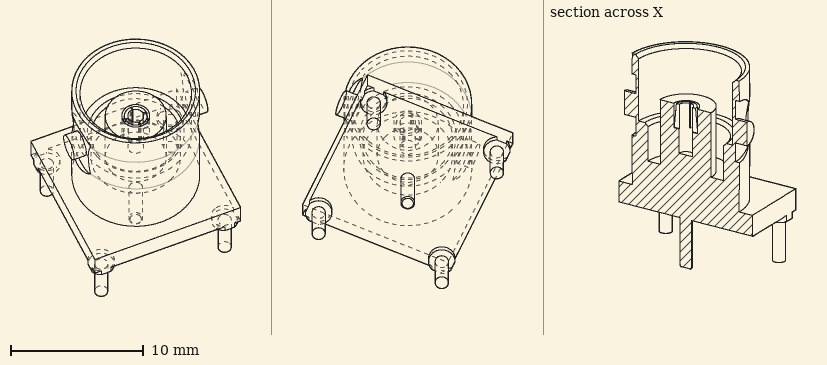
import cadquery as cq

plate_side = 12.0
plate_thickness = 1.75
pad_height = 0.5
pad_diameter = 2.0
leg_pitch = 10.16
leg_diameter = 1.0
leg_length = 3.5

pin_diameter = 1.05
pin_tip_chamfer = 0.1

barrel_diameter = 9.65
barrel_height = 10.75
waist_top_depth = 2.5
waist_height = 3.42
waist_sag = 0.13

lug_diameter = 1.98
lug_span = 11.0
flat_diameter = 5.0
flat_span = 9.0

mouth_diameter = 9.0
bore_diameter = 8.4
shoulder_depth = 5.4
shoulder_edge_diameter = 7.3
inner_bore_diameter = 6.75
socket_depth = 8.5

insulator_diameter = 4.6
insulator_depth = 3.2
contact_diameter = 2.1
contact_tip_diameter = 1.72
contact_hole_diameter = 1.2
contact_hole_depth = 4.0
slit_width = 0.06
slit_depth = 2.0
contact_taper_length = slit_depth

plate_bottom = pad_height
plate_top = plate_bottom + plate_thickness
barrel_top = plate_top + barrel_height
waist_top = barrel_top - waist_top_depth
waist_bottom = waist_top - waist_height
lug_height = (waist_top + waist_bottom) / 2
insulator_top = barrel_top - insulator_depth


def cylinder(diameter, bottom, top):
    """Vertical cylinder on the part axis."""
    return cq.Workplane("XY").workplane(offset=bottom).circle(diameter / 2).extrude(top - bottom)


def cross_cylinder(diameter, length):
    """Cylinder along Y at lug height, centered on the part axis."""
    return cq.Workplane("XZ", origin=(0, 0, lug_height)).circle(diameter / 2).extrude(length / 2, both=True)


def make_base():
    """Plate, pads trimmed to the plate edges, and corner legs."""
    plate = cq.Workplane("XY").workplane(offset=plate_bottom).rect(plate_side, plate_side)
    plate = plate.extrude(plate_thickness)
    corners = cq.Workplane("XY").rect(leg_pitch, leg_pitch, forConstruction=True).vertices()
    pads = corners.circle(pad_diameter / 2).extrude(plate_bottom)
    plate_outline = cq.Workplane("XY").rect(plate_side, plate_side).extrude(plate_bottom)
    pads = pads.intersect(plate_outline)
    legs = corners.circle(leg_diameter / 2).extrude(-leg_length)
    return plate.union(pads).union(legs)


def make_center_pin():
    """Solder pin, level with the legs, with a chamfered tip."""
    pin = cylinder(pin_diameter, -leg_length, plate_bottom)
    return pin.faces("<Z").chamfer(pin_tip_chamfer)


def make_barrel():
    """Barrel revolved with a shallow arc waist, then cut by the two lug flats."""
    radius = barrel_diameter / 2
    profile = (
        cq.Workplane("XZ")
        .moveTo(0, plate_top)
        .lineTo(radius, plate_top)
        .lineTo(radius, waist_bottom)
        .threePointArc((radius - waist_sag, lug_height), (radius, waist_top))
        .lineTo(radius, barrel_top)
        .lineTo(0, barrel_top)
        .close()
    )
    barrel = profile.revolve(360, (0, 0, 0), (0, 1, 0))
    flat_cutter = cross_cylinder(flat_diameter, plate_side).cut(
        cq.Workplane("XY", origin=(0, 0, lug_height)).box(plate_side, flat_span, plate_side)
    )
    return barrel.cut(flat_cutter).union(cross_cylinder(lug_diameter, lug_span))


def make_socket_cutter():
    """Stepped bore with 45 degree lead-ins at the mouth and at the shoulder."""
    mouth_chamfer = (mouth_diameter - bore_diameter) / 2
    shoulder_chamfer = (shoulder_edge_diameter - inner_bore_diameter) / 2
    shoulder = barrel_top - shoulder_depth
    floor = barrel_top - socket_depth
    profile = (
        cq.Workplane("XZ")
        .moveTo(0, barrel_top)
        .lineTo(mouth_diameter / 2, barrel_top)
        .lineTo(bore_diameter / 2, barrel_top - mouth_chamfer)
        .lineTo(bore_diameter / 2, shoulder)
        .lineTo(shoulder_edge_diameter / 2, shoulder)
        .lineTo(inner_bore_diameter / 2, shoulder - shoulder_chamfer)
        .lineTo(inner_bore_diameter / 2, floor)
        .lineTo(0, floor)
        .close()
    )
    return profile.revolve(360, (0, 0, 0), (0, 1, 0))


def make_insulator():
    """Insulator and its contact, whose slotted fingers taper inward to a tip flush with the insulator face."""
    insulator = cylinder(insulator_diameter, barrel_top - socket_depth, insulator_top)
    taper_bottom = insulator_top - contact_taper_length
    taper = (
        cq.Workplane("XZ")
        .moveTo(contact_tip_diameter / 2, insulator_top)
        .lineTo(contact_diameter / 2, insulator_top)
        .lineTo(contact_diameter / 2, taper_bottom)
        .close()
        .revolve(360, (0, 0, 0), (0, 1, 0))
    )
    hole = cylinder(contact_hole_diameter, insulator_top - contact_hole_depth, insulator_top)
    slit_bottom = cq.Workplane("XY").workplane(offset=insulator_top - slit_depth)
    slits = slit_bottom.rect(contact_diameter, slit_width).extrude(slit_depth)
    slits = slits.union(slit_bottom.rect(slit_width, contact_diameter).extrude(slit_depth))
    slits = slits.intersect(cylinder(contact_diameter, insulator_top - slit_depth, insulator_top))
    return insulator.cut(taper).cut(hole).cut(slits)


shell = make_base().union(make_barrel()).cut(make_socket_cutter())
result = shell.union(make_insulator()).union(make_center_pin())